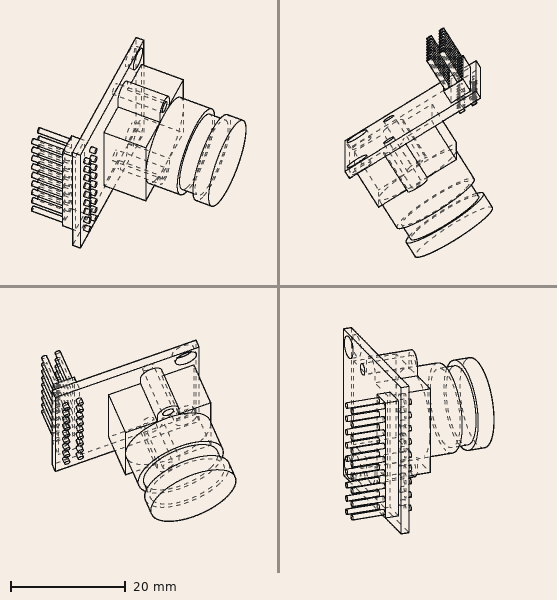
import cadquery as cq


board_thickness = 1.5
board_width = 27.0
board_height = 28.0
corner_hole_diameter = 4.0
corner_hole_inset = 2.5

lens_y = 4.5
housing_side = 16.0
housing_depth = 8.0
lug_width = 4.0
lug_spacing = 20.0
lug_hole_diameter = 2.0

barrel_diameter = housing_side
barrel_base_length = 6.0
groove_diameter = 14.0
groove_length = 3.0
rim_length = 3.0

header_width = 4.0
header_height = 22.0
header_depth = 2.5
header_y = -10.35
pin_diameter = 1.0
pin_length = 6.0
pin_tail = 1.0
pins_per_row = 9
pin_rows = 2
pin_row_span = 20.3
pin_pitch = pin_row_span / (pins_per_row - 1)
pins_y = -10.38


def section_at(x, y=0.0):
    """Sketch plane facing +X, with local axes along Y and Z."""
    return cq.Workplane("YZ", origin=(x, y, 0))


def make_board():
    hole_spacing = board_height - 2 * corner_hole_inset
    hole_y = board_width / 2 - corner_hole_inset
    plate = section_at(0).rect(board_width, board_height).extrude(board_thickness)
    holes = (
        section_at(0, hole_y)
        .rarray(0.3, hole_spacing, 1, 2)
        .circle(corner_hole_diameter / 2)
        .extrude(board_thickness)
    )
    return plate.cut(holes)


def make_housing():
    base = section_at(board_thickness, lens_y)
    block = base.rect(housing_side, housing_side).extrude(housing_depth)
    lugs = base.slot2D(lug_spacing + lug_width, lug_width, 90).extrude(housing_depth)
    return block.union(lugs)


def make_barrel():
    sections = (
        (barrel_diameter, barrel_base_length),
        (groove_diameter, groove_length),
        (barrel_diameter, rim_length),
    )
    barrel = cq.Workplane("YZ")
    x = board_thickness + housing_depth
    for diameter, length in sections:
        barrel = barrel.union(section_at(x, lens_y).circle(diameter / 2).extrude(length))
        x += length
    return barrel


def make_lug_holes():
    """Screw holes that run through both the board and the lugs."""
    return (
        section_at(0, lens_y)
        .rarray(0.3, lug_spacing, 1, 2)
        .circle(lug_hole_diameter / 2)
        .extrude(board_thickness + housing_depth)
    )


def make_header():
    body = section_at(-header_depth, header_y).rect(header_width, header_height).extrude(header_depth)
    pins = (
        section_at(-header_depth - pin_length, pins_y)
        .rarray(pin_pitch, pin_pitch, pin_rows, pins_per_row)
        .circle(pin_diameter / 2)
        .extrude(pin_length + header_depth + board_thickness + pin_tail)
    )
    return body.union(pins)


result = (
    make_board()
    .union(make_housing())
    .union(make_barrel())
    .union(make_header())
    .cut(make_lug_holes())
)